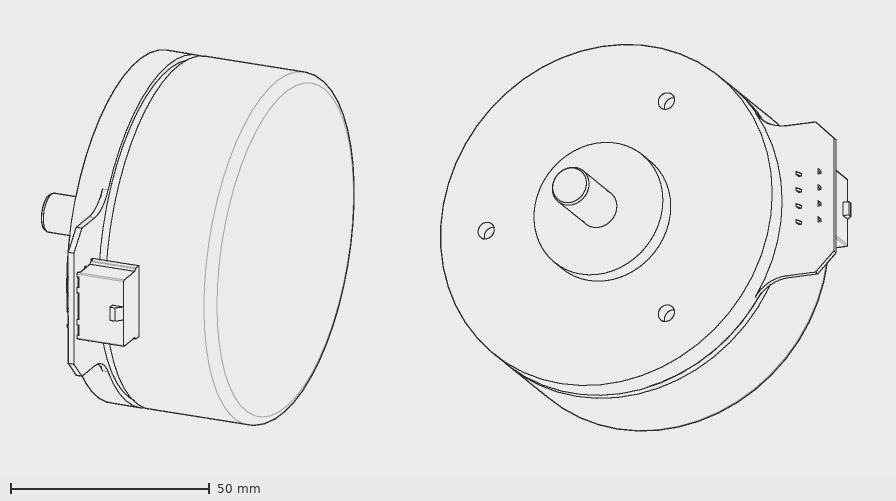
import cadquery as cq
import math


shaft_radius = 5.0
shaft_chamfer_length = 0.7
shaft_chamfer_drop = 0.4
boss_front = 19.5
boss_radius = 17.5

body_diameter = 90.0
body_radius = body_diameter / 2
flange_front = 24.8
board_front = 31.4
board_back = 33.0
groove_radius = 43.7
can_front = 35.5
motor_length = 65.0
can_fillet = 2.5

hole_count = 3
hole_radius = 2.2
hole_circle_radius = 32.5
hole_depth = 4.2
drill_tip_half_angle = 59

overall_width = 104.0
tail_end = overall_width - body_radius
tail_half_width = 20.0
tail_chamfer = 5.0
tail_fillet = 10.0

housing_back = 45.8
housing_inner = 47.3
housing_outer = 57.0
housing_wide_end = 49.5
housing_half_wide = 9.6
housing_half_narrow = 8.9
housing_edge_fillet = 0.3

vent_height = 0.47
vent_depth = 0.6
outer_vents_z = ((-7.8, -5.1), (-3.5, 3.5), (5.1, 7.8))
side_vents_y = ((-56.2, -52.5), (-51.8, -48.5))

latch_front = 42.6
latch_top_length = 1.4
latch_rise = 1.6
latch_width = 3.5

pin_columns = 4
pin_pitch = 4.3
pin_inner = 49.8
pin_row_spacing = 5.3
pin_size = 0.7
pin_length = 1.9


def motor_body():
    """Revolve the half section of the shaft, boss, flange with board disc, and can."""
    profile = (
        cq.Workplane("XY")
        .lineTo(0, -(shaft_radius - shaft_chamfer_drop))
        .lineTo(shaft_chamfer_length, -shaft_radius)
        .lineTo(boss_front, -shaft_radius)
        .lineTo(boss_front, -boss_radius)
        .lineTo(flange_front, -boss_radius)
        .lineTo(flange_front, -body_radius)
        .lineTo(board_back, -body_radius)
        .lineTo(board_back, -groove_radius)
        .lineTo(can_front, -groove_radius)
        .lineTo(can_front, -body_radius)
        .lineTo(motor_length - can_fillet, -body_radius)
        .radiusArc((motor_length, -(body_radius - can_fillet)), -can_fillet)
        .lineTo(motor_length, 0)
        .close()
    )
    return profile.revolve(360, (0, 0, 0), (1, 0, 0))


def mounting_hole(angle):
    """One drilled hole with a conical bottom, at an angle from +Y towards +Z."""
    tip_depth = hole_depth + hole_radius / math.tan(math.radians(drill_tip_half_angle))
    drill = (
        cq.Workplane("XY")
        .polyline([(0, 0), (0, hole_radius), (hole_depth, hole_radius), (tip_depth, 0)])
        .close()
        .revolve(360, (0, 0, 0), (1, 0, 0))
    )
    placed = drill.translate((flange_front, hole_circle_radius, 0))
    return placed.rotate((0, 0, 0), (1, 0, 0), angle)


def board_tail():
    """Chamfered tail, blended tangentially into the board disc."""
    blend_z = tail_half_width + tail_fillet
    blend_y = -math.sqrt((body_radius + tail_fillet) ** 2 - blend_z**2)
    disc_share = body_radius / (body_radius + tail_fillet)
    disc_y = blend_y * disc_share
    disc_z = blend_z * disc_share
    return (
        cq.Workplane("YZ", origin=(board_front, 0, 0))
        .moveTo(disc_y, disc_z)
        .radiusArc((blend_y, tail_half_width), tail_fillet)
        .lineTo(-(tail_end - tail_chamfer), tail_half_width)
        .lineTo(-tail_end, tail_half_width - tail_chamfer)
        .lineTo(-tail_end, -(tail_half_width - tail_chamfer))
        .lineTo(-(tail_end - tail_chamfer), -tail_half_width)
        .lineTo(blend_y, -tail_half_width)
        .radiusArc((disc_y, -disc_z), tail_fillet)
        .close()
        .extrude(board_back - board_front)
    )


def vent_notch(y_range, z_range):
    """Cutter for one notch between the board and the housing."""
    length_y = y_range[1] - y_range[0]
    length_z = z_range[1] - z_range[0]
    notch = cq.Workplane("XY").box(vent_height, length_y, length_z, centered=False)
    return notch.translate((board_back, y_range[0], z_range[0]))


def connector_housing():
    """Housing block, wider on the motor side, with vent notches along its foot."""
    slope = housing_half_wide - housing_half_narrow
    upper = [
        (-housing_inner, housing_half_wide),
        (-housing_wide_end, housing_half_wide),
        (-housing_wide_end - slope, housing_half_narrow),
        (-housing_outer, housing_half_narrow),
    ]
    lower = [(y, -z) for y, z in reversed(upper)]
    housing = (
        cq.Workplane("YZ", origin=(board_back, 0, 0))
        .polyline(upper + lower)
        .close()
        .extrude(housing_back - board_back)
    )
    for y, z in (point for point in upper + lower if point not in (upper[2], lower[1])):
        corner = cq.selectors.NearestToPointSelector(((board_back + housing_back) / 2, y, z))
        housing = housing.edges("|X").edges(corner).fillet(housing_edge_fillet)

    outer_face = (-housing_outer, -housing_outer + vent_depth)
    for z_range in outer_vents_z:
        housing = housing.cut(vent_notch(outer_face, z_range))

    side_floor = housing_half_narrow - vent_depth
    for y_range in side_vents_y:
        housing = housing.cut(vent_notch(y_range, (side_floor, housing_half_wide)))
        housing = housing.cut(vent_notch(y_range, (-housing_half_wide, -side_floor)))
    return housing


def latch_nub():
    """Wedge on the outer face of the housing that catches the plug latch."""
    return (
        cq.Workplane("XY")
        .moveTo(latch_front, -housing_outer)
        .lineTo(latch_front, -housing_outer - latch_rise)
        .lineTo(latch_front + latch_top_length, -housing_outer - latch_rise)
        .lineTo(housing_back, -housing_outer)
        .close()
        .extrude(latch_width / 2, both=True)
    )


def solder_pin(centre, side, z):
    """Pin tapering to an edge on the given Y side (+1 or -1) of its centre."""
    edge_y = centre + side * pin_size / 2
    return (
        cq.Workplane("XY", origin=(0, 0, z))
        .moveTo(board_front, edge_y)
        .lineTo(board_front - pin_length, edge_y)
        .lineTo(board_front, edge_y - side * pin_size)
        .close()
        .extrude(pin_size / 2, both=True)
    )


result = motor_body()
for index in range(hole_count):
    result = result.cut(mounting_hole(index * 360 / hole_count))

result = result.union(board_tail())
result = result.union(connector_housing())
result = result.union(latch_nub())

for column in range(pin_columns):
    pin_z = (column - (pin_columns - 1) / 2) * pin_pitch
    result = result.union(solder_pin(-pin_inner, 1, pin_z))
    result = result.union(solder_pin(-pin_inner - pin_row_spacing, -1, pin_z))